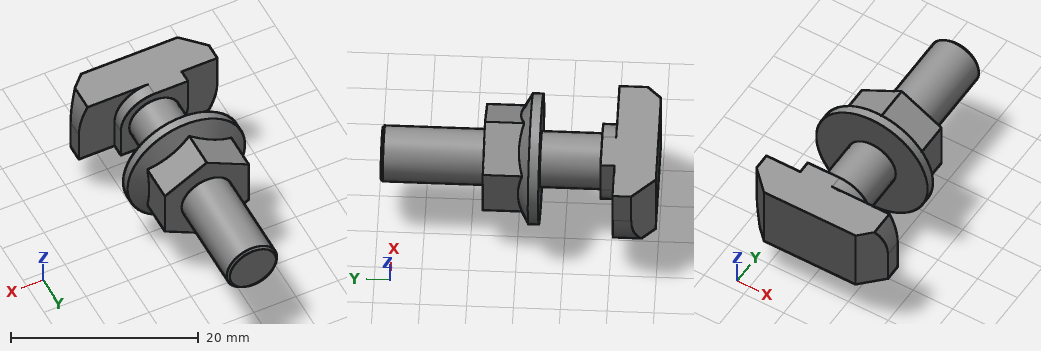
import cadquery as cq
import math


head_length = 16.5
head_width = 8.0
head_height = 4.5
head_chamfer = 2.5

collar_height = 1.5

shank_diameter = 6.0
shank_end = 25.0
tip_chamfer = 0.25

nut_across_flats = 10.0
nut_height = 6.0
nut_end = 14.0
flange_diameter = 14.0
flange_rim_height = 1.1
flange_slope = math.radians(30)

nut_start = nut_end - nut_height
nut_across_corners = nut_across_flats / math.cos(math.radians(30))
cone_height = flange_diameter / 2 * math.tan(flange_slope)


def plane_at(y):
    """Sketch plane across the bolt axis: local x is X, local y is Z, extrusion runs toward +Y."""
    return cq.Workplane(cq.Plane(origin=(0, y, 0), xDir=(1, 0, 0), normal=(0, -1, 0)))


def cylinder(diameter, start, height):
    return plane_at(start).circle(diameter / 2).extrude(-height)


def box(x_size, z_size, start, height, x_center=0, z_center=0):
    return plane_at(start).center(x_center, z_center).rect(x_size, z_size).extrude(-height)


def quarter_turn_outline(length, width, start, height):
    """Bar with two opposite corners left square and the other two rounded to a circle of diameter length."""
    bar = box(length, width, start, height)
    outline = bar.intersect(cylinder(length, start, height))
    for side in (-1, 1):
        square_corner = box(length / 2, width / 2, start, height, side * length / 4, -side * width / 4)
        outline = outline.union(square_corner)
    return outline


def make_head():
    half_length = head_length / 2
    half_face = half_length - head_chamfer
    chamfer_top = head_chamfer - head_height
    profile = (
        cq.Workplane("XY")
        .moveTo(-half_length, 0)
        .lineTo(-half_length, chamfer_top)
        .lineTo(-half_face, -head_height)
        .lineTo(half_face, -head_height)
        .lineTo(half_length, chamfer_top)
        .lineTo(half_length, 0)
        .close()
        .extrude(head_width / 2, both=True)
    )
    return quarter_turn_outline(head_length, head_width, -head_height, head_height).intersect(profile)


def make_collar():
    return quarter_turn_outline(head_width, head_width, 0, collar_height)


def make_shank():
    return cylinder(shank_diameter, 0, shank_end).faces(">Y").chamfer(tip_chamfer)


def make_nut():
    corner_turn = 90
    hexagon = (
        plane_at(nut_start)
        .transformed(rotate=(0, 0, corner_turn))
        .polygon(6, nut_across_corners)
        .extrude(-nut_height)
    )
    flange = (
        cq.Workplane("XY")
        .moveTo(0, nut_start)
        .lineTo(flange_diameter / 2, nut_start)
        .lineTo(flange_diameter / 2, nut_start + flange_rim_height)
        .lineTo(0, nut_start + flange_rim_height + cone_height)
        .close()
        .revolve(360, (0, 0, 0), (0, 1, 0))
    )
    return hexagon.union(flange)


result = make_head().union(make_collar()).union(make_shank()).union(make_nut())